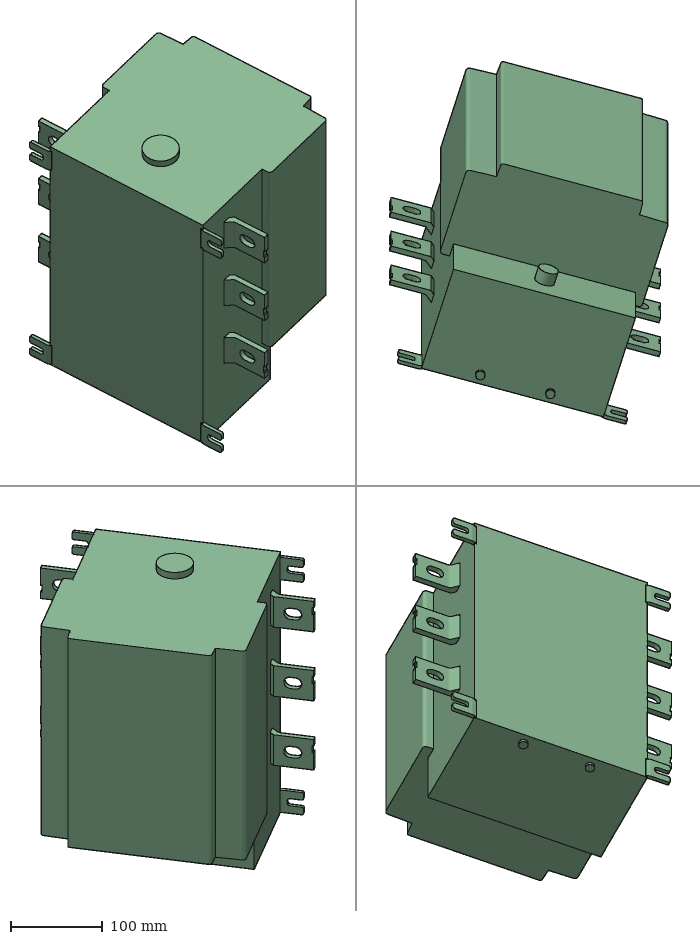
import cadquery as cq


body_width = 206.5
body_depth = 123.8
body_height = 331.5
cover_width = 229.0
cover_front = 108.7
cover_shoulder = 213.5
cover_bottom = 66.0
cover_corner_radius = 4.0

panel_back = 231.2
panel_width = 160.5
panel_root_width = 162.5
panel_root = 214.5
panel_corner_radius = 2.7

knob_diameter = 40.5
knob_y = 62.8
knob_height = 8.2
button_diameter = 22.3
button_length = 15.0
button_z = 32.5
peg_diameter = 10.3
peg_length = 3.5
peg_spacing = 79.5
peg_y = 11.3

terminal_span = 305.5
terminal_front = 46.0
terminal_thickness = 6.2
terminal_height = 38.8
terminal_bend_x = 111.8
terminal_rear_bend_x = 107.7
terminal_bend_radius = 4.8
terminal_drop = 7.5
terminal_pitch = 87.8
terminal_low_z = 110.5
terminal_hole_x = 129.3
terminal_hole_length = 20.0
terminal_hole_width = 14.0
notch_depth = 1.7
notch_width = 8.5
notch_offset = 7.0

foot_span = 259.3
foot_front = -2.0
foot_thickness = 4.0
foot_height = 28.5
foot_bend_x = 106.0
foot_rear_bend_x = 106.7
foot_inner_x = 101.0
foot_inner_front = -0.85
foot_corner_radius = 2.7
foot_slot_width = 9.0
foot_slot_end_x = 111.0
foot_slot_radius = 3.5
foot_low_z = 15.5
foot_high_z = 311.0

body_half = body_width / 2


def make_body():
    return cq.Workplane("XY").box(body_width, body_depth, body_height, centered=(True, False, False))


def make_cover():
    half = cover_width / 2
    profile = [
        (-half, cover_front),
        (half, cover_front),
        (half, cover_shoulder),
        (panel_root_width / 2, panel_root),
        (panel_width / 2, panel_back),
        (-panel_width / 2, panel_back),
        (-panel_root_width / 2, panel_root),
        (-half, cover_shoulder),
    ]
    cover = (
        cq.Workplane("XY")
        .workplane(offset=cover_bottom)
        .polyline(profile)
        .close()
        .extrude(body_height - cover_bottom)
    )
    cover = cover.edges("|Z and (<X or >X)").fillet(cover_corner_radius)
    return cover.edges("|Z and >Y").fillet(panel_corner_radius)


def make_knob():
    return (
        cq.Workplane("XY")
        .workplane(offset=body_height)
        .center(0, knob_y)
        .circle(knob_diameter / 2)
        .extrude(knob_height)
    )


def make_button():
    return (
        cq.Workplane("XZ", origin=(0, body_depth, button_z))
        .circle(button_diameter / 2)
        .extrude(-button_length)
    )


def make_pegs():
    return (
        cq.Workplane("XY")
        .pushPoints([(-peg_spacing / 2, peg_y), (peg_spacing / 2, peg_y)])
        .circle(peg_diameter / 2)
        .extrude(-peg_length)
    )


def make_terminal():
    """Terminal on the +X side, centred on z = 0."""
    outer_x = terminal_span / 2
    rear = terminal_front + terminal_thickness
    rear_drop = terminal_drop * (terminal_rear_bend_x - body_half) / (terminal_bend_x - body_half)
    profile = [
        (outer_x, terminal_front),
        (outer_x, rear),
        (terminal_rear_bend_x, rear),
        (body_half, rear - rear_drop),
        (body_half, terminal_front - terminal_drop),
        (terminal_bend_x, terminal_front),
    ]
    plate = cq.Workplane("XY").polyline(profile).close().extrude(terminal_height / 2, both=True)
    hole = (
        cq.Workplane("XZ", origin=(terminal_hole_x, rear, 0))
        .slot2D(terminal_hole_length, terminal_hole_width)
        .extrude(terminal_thickness)
    )
    notch = cq.Workplane("XY").box(2 * notch_depth, terminal_thickness, notch_width)
    notch = notch.translate((outer_x, terminal_front + terminal_thickness / 2, -notch_offset))
    inner_bend = cq.selectors.NearestToPointSelector((terminal_bend_x, terminal_front, 0))
    plate = plate.edges(inner_bend).fillet(terminal_bend_radius)
    return plate.cut(hole).cut(notch)


def make_foot():
    """Foot on the +X side, centred on z = 0."""
    outer_x = foot_span / 2
    rear = foot_front + foot_thickness
    slope = (foot_front - foot_inner_front) / (foot_inner_x - foot_bend_x)
    inner_rear = rear + slope * (foot_rear_bend_x - foot_inner_x)
    profile = [
        (outer_x, foot_front),
        (outer_x, rear),
        (foot_rear_bend_x, rear),
        (foot_inner_x, inner_rear),
        (foot_inner_x, foot_inner_front),
        (foot_bend_x, foot_front),
    ]
    plate = cq.Workplane("XY").polyline(profile).close().extrude(foot_height / 2, both=True)
    slot_length = outer_x - foot_slot_end_x
    slot = (
        cq.Workplane("XY")
        .box(slot_length, foot_thickness, foot_slot_width, centered=(False, False, True))
        .edges("|Y and <X")
        .fillet(foot_slot_radius)
        .translate((foot_slot_end_x, foot_front, 0))
    )
    return plate.cut(slot).edges("|Y and >X").fillet(foot_corner_radius)


def on_both_sides(right_part, z):
    """The part at height z, and its copy turned half a revolution about the Y direction."""
    left_part = right_part.rotate((0, 0, 0), (0, 1, 0), 180)
    return right_part.union(left_part).translate((0, 0, z))


result = make_body().union(make_cover()).union(make_knob()).union(make_button()).union(make_pegs())

terminal = make_terminal()
for row in range(3):
    result = result.union(on_both_sides(terminal, terminal_low_z + row * terminal_pitch))

foot = make_foot()
for foot_z in (foot_low_z, foot_high_z):
    result = result.union(on_both_sides(foot, foot_z))